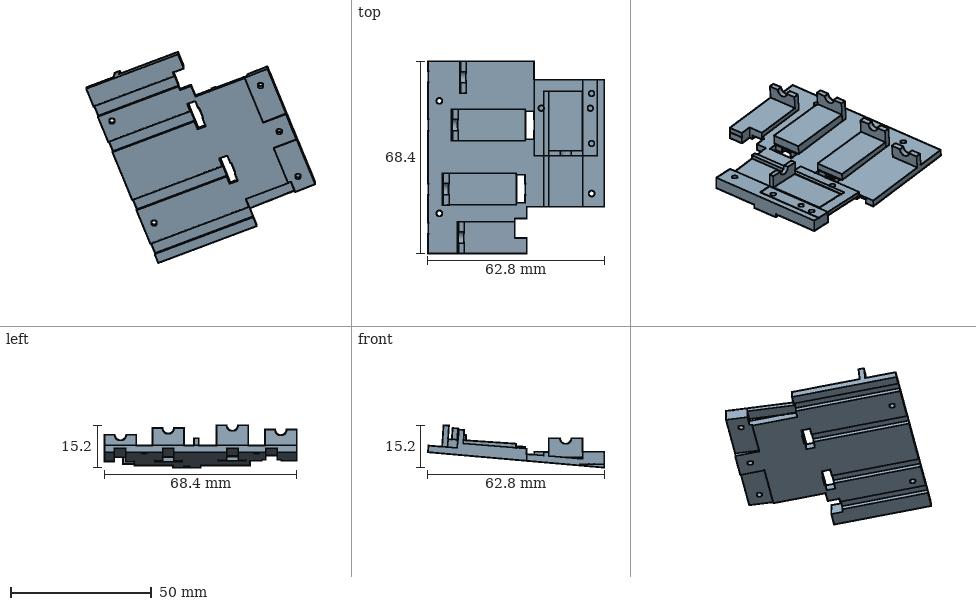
import cadquery as cq
import math

TILT = 5.0
PLATE_THICK = 2.45
DEPTH = 68.4
LENGTH = 62.83
FRONT_END = 35.2
BACK_END = 37.8
WING_FRONT = 16.6
WING_BACK = 57.8
TONGUE_FRONT = 34.1
TONGUE_WIDTH = 10.0

POST_THICK = 2.0
POST_WIDTH = 11.35
POST_RISE = 4.85
SADDLE_DIAMETER = 4.0
PAD_LENGTH = 26.3
PAD_INSET = 0.05
ROOT = 1.0
EDGE_FOOT_X = 10.45

HOLDERS = [
    (EDGE_FOOT_X, 0.0, 1.75, 4.6, FRONT_END - EDGE_FOOT_X, 0.0),
    (5.05, 17.25, 2.83, 3.8, PAD_LENGTH, PAD_INSET),
    (8.3, 40.05, 2.1, 4.0, PAD_LENGTH, PAD_INSET),
    (11.3, DEPTH - POST_WIDTH, 0.0, TILT, POST_THICK, 0.0),
]

SLOT_LENGTH = 3.1
SLOT_WIDTH = 9.9
SLOTS = [
    (31.55, 18.1),
    (34.7, 40.7),
]
NOTCH_START = 31.0
NOTCH_FRONT = 5.6
NOTCH_WIDTH = 6.85
NOTCH_OVERCUT = 1.0

GROOVE_WIDTH = 4.0
GROOVE_DEPTH = 1.5
GROOVE_OVERRUN = 0.3
GROOVES = [
    (8.97, FRONT_END),
    (22.9, SLOTS[0][0] + SLOT_LENGTH + GROOVE_OVERRUN),
    (45.7, SLOTS[1][0] + SLOT_LENGTH + GROOVE_OVERRUN),
    (62.9, BACK_END + 1),
]

CARRIAGE_TOP = 0.2
SEAT_DEPTH = 0.12
SEAT_TOP = CARRIAGE_TOP - SEAT_DEPTH
BLOCK_BOTTOM = -4.19
BLOCK_BACK = 61.9
RIB_START = 41.2
RIB_BOTTOM = -2.0
CHANNEL_START = 42.95
CHANNEL_END = 55.1
RELIEF_START = 54.1

HOLE_DIAMETER = 2.0
LEFT_HOLE_X = 4.1
BLOCK_HOLE_X = 58.25
BLOCK_HOLE_PITCH = 17.8
BLOCK_HOLE_Y = 21.35
SCREW_HOLES = [(LEFT_HOLE_X, 14.3), (LEFT_HOLE_X, 54.3)]
SCREW_HOLES += [(BLOCK_HOLE_X, BLOCK_HOLE_Y + i * BLOCK_HOLE_PITCH) for i in range(3)]

CARRIAGE_END = 60.3
CARRIAGE_FRONT = 34.85
CARRIAGE_THICK = 1.5
INSERT_WIDTH = 12.0
POST_BOTTOM = -1.75
INSERT_BOTTOM = -2.5
INSERT_PROUD = 0.1
CARRIAGE_POST_THICK = 1.75
CARRIAGE_HOLES = [(40.35, 51.7), (57.8, 51.7)]

CLEAR = 20.0


def box(x0, x1, y0, y1, z0, z1):
    size = (x1 - x0, y1 - y0, z1 - z0)
    return cq.Workplane("XY").box(*size, centered=False).translate((x0, y0, z0))


def tilt(body, angle=TILT):
    return body.rotate((0, 0, 0), (0, 1, 0), angle)


def column(x0, x1, y0, y1):
    return box(x0, x1, y0, y1, -CLEAR, CLEAR)


def drill(points):
    return cq.Workplane("XY").pushPoints(points).circle(HOLE_DIAMETER / 2).extrude(CLEAR, both=True)


def make_plate():
    outline = column(-CLEAR, FRONT_END, 0, DEPTH)
    outline = outline.union(column(0, BACK_END, WING_FRONT, DEPTH))
    outline = outline.union(column(0, CHANNEL_END, WING_FRONT, WING_BACK))
    outline = outline.union(column(0, LENGTH, TONGUE_FRONT, TONGUE_FRONT + TONGUE_WIDTH))
    return tilt(box(0, LENGTH + CLEAR, 0, DEPTH, 0, PLATE_THICK)).intersect(outline)


def make_holder(foot_x, y0, pad_height, angle, length, inset):
    y1 = y0 + POST_WIDTH
    top = pad_height + POST_RISE
    holder = box(0, POST_THICK, y0, y1, -ROOT, top)
    saddle = cq.Workplane("YZ").center((y0 + y1) / 2, top).circle(SADDLE_DIAMETER / 2).extrude(POST_THICK)
    holder = holder.cut(saddle)
    if pad_height > 0:
        holder = holder.union(box(0, length, y0 + inset, y1 - inset, -ROOT, pad_height))
    slope = math.radians(TILT)
    foot_z = PLATE_THICK / math.cos(slope) - foot_x * math.tan(slope)
    return tilt(holder, angle).translate((foot_x, 0, foot_z))


def make_base():
    base = make_plate()
    relief = box(RELIEF_START, LENGTH, WING_FRONT, WING_BACK, -CLEAR, BLOCK_BOTTOM)
    base = base.cut(relief.cut(column(0, LENGTH, TONGUE_FRONT, TONGUE_FRONT + TONGUE_WIDTH)))
    base = base.union(box(CHANNEL_END, LENGTH, WING_FRONT, BLOCK_BACK, BLOCK_BOTTOM, CARRIAGE_TOP))
    base = base.union(box(RIB_START, CHANNEL_START, WING_FRONT, WING_BACK, RIB_BOTTOM, SEAT_TOP))
    base = base.cut(box(BACK_END, CARRIAGE_END, CARRIAGE_FRONT, BLOCK_BACK, SEAT_TOP, CARRIAGE_TOP))
    for holder in HOLDERS:
        base = base.union(make_holder(*holder))
    for y, end in GROOVES:
        half = GROOVE_WIDTH / 2
        base = base.cut(tilt(box(-CLEAR, end, y - half, y + half, -CLEAR, GROOVE_DEPTH)))
    for x, y in SLOTS:
        base = base.cut(tilt(box(x, x + SLOT_LENGTH, y, y + SLOT_WIDTH, -CLEAR, PLATE_THICK)))
    base = base.cut(column(NOTCH_START, FRONT_END + NOTCH_OVERCUT, NOTCH_FRONT, NOTCH_FRONT + NOTCH_WIDTH))
    return base.cut(drill(SCREW_HOLES))


def make_carriage(base):
    post_back = CARRIAGE_FRONT + CARRIAGE_POST_THICK
    plate = box(BACK_END, CARRIAGE_END, CARRIAGE_FRONT, BLOCK_BACK,
                CARRIAGE_TOP - CARRIAGE_THICK, CARRIAGE_TOP)
    insert = box(CHANNEL_START, CHANNEL_START + INSERT_WIDTH, post_back, WING_BACK,
                 INSERT_BOTTOM, CARRIAGE_TOP + INSERT_PROUD)
    post_top = CARRIAGE_TOP + POST_RISE
    post = box(CHANNEL_START, CHANNEL_END, CARRIAGE_FRONT, post_back, POST_BOTTOM, post_top)
    saddle = (cq.Workplane("XZ").center((CHANNEL_START + CHANNEL_END) / 2, post_top)
              .circle(SADDLE_DIAMETER / 2).extrude(-LENGTH))
    carriage = plate.union(insert).union(post.cut(saddle)).cut(drill(CARRIAGE_HOLES))
    return carriage.cut(base)


base = make_base()
carriage = make_carriage(base)
result = cq.Compound.makeCompound([*base.vals(), *carriage.vals()])